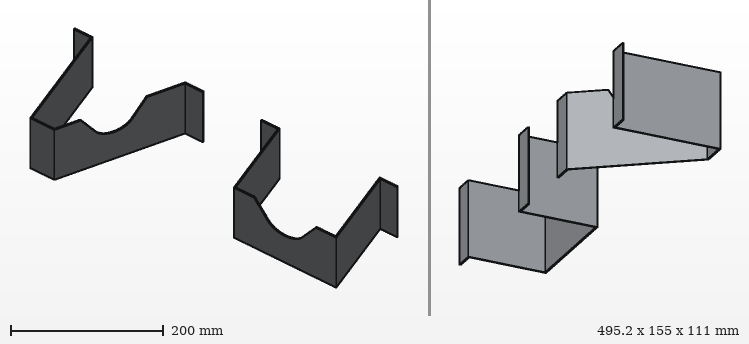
import cadquery as cq
import math

total_length = 495.2
depth = 155.0
height = 111.0
sheet = 2.0
flange_front = depth - sheet

slant_bracket_width = 197.5
slant_bracket_flange = 26.0
slant_web_width = 37.0
slant_end_x = 170.5
slant_notch_x = 112.0

square_bracket_width = 208.5
square_bracket_depth = 113.5
square_flange = 26.0

notch_depth = 52.0
notch_radius = 30.0
notch_half_angle = math.radians(30)
cut_reach = 2 * sheet


def folded_sheet(outer_path):
    """Extrude a folded sheet that lies to the left of its outer path, with mitred bends."""
    directions = []
    for start, end in zip(outer_path, outer_path[1:]):
        directions.append(math.atan2(end[1] - start[1], end[0] - start[0]))
    incoming = [directions[0]] + directions
    outgoing = directions + [directions[-1]]

    inner_path = []
    for (x, y), before, after in zip(outer_path, incoming, outgoing):
        bisector = (before + after) / 2
        miter = sheet / math.cos((after - before) / 2)
        inner_path.append((x - miter * math.sin(bisector), y + miter * math.cos(bisector)))

    outline = outer_path + inner_path[::-1]
    return cq.Workplane("XY").polyline(outline).close().extrude(height)


def notch_cutter(x, y, panel_angle):
    """Notch through a panel whose outer face passes through (x, y) at panel_angle to X."""
    center_z = height - notch_depth + notch_radius
    tangent_u = notch_radius * math.cos(notch_half_angle)
    tangent_z = center_z - notch_radius * math.sin(notch_half_angle)
    top_u = tangent_u + (height - tangent_z) * math.tan(notch_half_angle)
    along_panel = (math.cos(panel_angle), math.sin(panel_angle), 0)
    outward = (math.sin(panel_angle), -math.cos(panel_angle), 0)
    face = cq.Plane(origin=(x, y, 0), xDir=along_panel, normal=outward)
    return (
        cq.Workplane(face)
        .moveTo(-top_u, height)
        .lineTo(-tangent_u, tangent_z)
        .threePointArc((0, height - notch_depth), (tangent_u, tangent_z))
        .lineTo(top_u, height)
        .close()
        .extrude(cut_reach, both=True)
    )


def make_slanted_bracket():
    """Bracket with one straight wall, a narrow web and a notched slanted panel."""
    web_end_x = slant_bracket_flange + slant_web_width
    path = [
        (0, flange_front),
        (slant_bracket_flange, flange_front),
        (slant_bracket_flange, 0),
        (web_end_x, 0),
        (slant_end_x, flange_front),
        (slant_bracket_width, flange_front),
    ]
    panel_angle = math.atan2(flange_front, slant_end_x - web_end_x)
    notch_y = (slant_notch_x - web_end_x) * math.tan(panel_angle)
    return folded_sheet(path).cut(notch_cutter(slant_notch_x, notch_y, panel_angle))


def make_square_bracket():
    """Symmetric bracket with two straight walls and a notched web."""
    left = total_length - square_bracket_width
    web_y = depth - square_bracket_depth
    path = [
        (left, flange_front),
        (left + square_flange, flange_front),
        (left + square_flange, web_y),
        (total_length - square_flange, web_y),
        (total_length - square_flange, flange_front),
        (total_length, flange_front),
    ]
    center_x = total_length - square_bracket_width / 2
    return folded_sheet(path).cut(notch_cutter(center_x, web_y, 0))


slanted_bracket = make_slanted_bracket()
square_bracket = make_square_bracket()

result = cq.Compound.makeCompound([slanted_bracket.val(), square_bracket.val()])